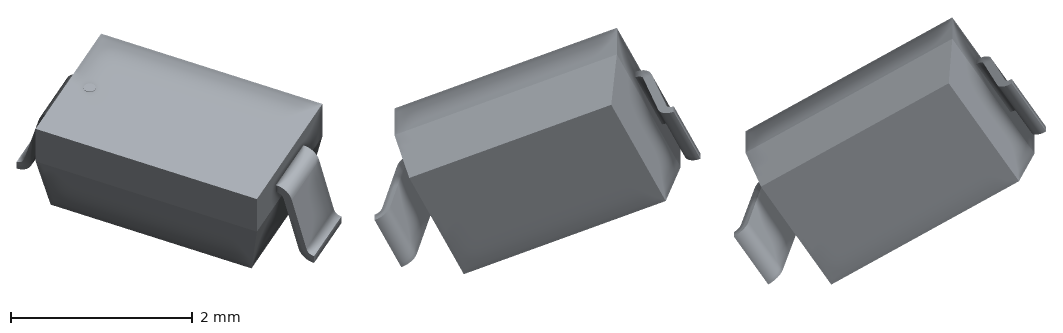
import cadquery as cq
import math

span = 3.61
body_length = 2.685
body_width = 1.7

total_height = 1.2
mark_height = 0.007
body_height = total_height - mark_height
parting_height = 0.705
draft_angle = 10.0

mark_diameter = 0.135
mark_x = -1.083

lead_width = 0.71
lead_thickness = 0.1
lead_top = 0.985
inner_radius = 0.095
outer_radius = inner_radius + lead_thickness
lean_angle = 15.0
bend_angle = 90.0 - lean_angle


def make_housing():
    """Straight upper block on a lower block that tapers towards the base."""
    upper = (
        cq.Workplane("XY", origin=(0, 0, parting_height))
        .rect(body_length, body_width)
        .extrude(body_height - parting_height)
    )
    lower = (
        cq.Workplane("XY", origin=(0, 0, parting_height))
        .rect(body_length, body_width)
        .extrude(-parting_height, taper=draft_angle)
    )
    return upper.union(lower, clean=False)


def make_mark():
    """Thin disc lying on the housing top."""
    return (
        cq.Workplane("XY", origin=(mark_x, 0, body_height))
        .circle(mark_diameter / 2)
        .extrude(mark_height)
    )


def polar(center, radius, angle):
    """Point at an angle in degrees, counterclockwise from +X, around a center."""
    turn = math.radians(angle)
    return (center[0] + radius * math.cos(turn), center[1] + radius * math.sin(turn))


def make_left_lead():
    """Gull-wing strip with an upper and a lower bend joined by a leaning leg."""
    lean = math.radians(lean_angle)
    mean_radius = inner_radius + lead_thickness / 2
    leg_rise = lead_top - lead_thickness - 2 * mean_radius * (1 - math.sin(lean))
    bends_run = 2 * mean_radius * math.cos(lean) + leg_rise * math.tan(lean)

    housing_x = -body_length / 2
    tip_x = -span / 2
    upper_center = (tip_x + bends_run, lead_top - outer_radius)
    lower_center = (tip_x, outer_radius)

    upper_start = 90.0
    upper_middle = upper_start + bend_angle / 2
    upper_end = upper_start + bend_angle
    lower_start = -90.0
    lower_middle = lower_start + bend_angle / 2
    lower_end = lower_start + bend_angle

    return (
        cq.Workplane("XZ")
        .moveTo(housing_x, lead_top)
        .lineTo(*polar(upper_center, outer_radius, upper_start))
        .threePointArc(
            polar(upper_center, outer_radius, upper_middle),
            polar(upper_center, outer_radius, upper_end),
        )
        .lineTo(*polar(lower_center, inner_radius, lower_end))
        .threePointArc(
            polar(lower_center, inner_radius, lower_middle),
            polar(lower_center, inner_radius, lower_start),
        )
        .lineTo(*polar(lower_center, outer_radius, lower_start))
        .threePointArc(
            polar(lower_center, outer_radius, lower_middle),
            polar(lower_center, outer_radius, lower_end),
        )
        .lineTo(*polar(upper_center, inner_radius, upper_end))
        .threePointArc(
            polar(upper_center, inner_radius, upper_middle),
            polar(upper_center, inner_radius, upper_start),
        )
        .lineTo(housing_x, lead_top - lead_thickness)
        .close()
        .extrude(lead_width / 2, both=True)
    )


housing = make_housing()
mark = make_mark()

leads = []
for turn in (0, 180):
    lead = make_left_lead().rotate((0, 0, 0), (0, 0, 1), turn)
    leads.append(lead.val())

result = cq.Compound.makeCompound([housing.val(), mark.val(), *leads])